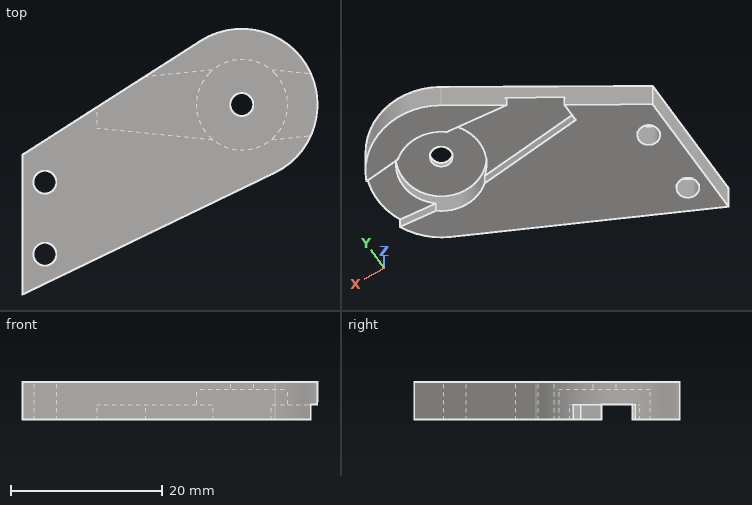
import cadquery as cq
import math

length = 38.97
thickness = 5.0
head_radius = 10.0
head_x = length - head_radius
head_y = 25.1
left_edge_height = 18.47

hole_diameter = 3.0
mount_hole_x = 2.95
mount_hole_low_y = 5.35
mount_hole_spacing = 9.5

roof_thickness = 1.0
hub_radius = 6.0
arm_depth = 2.0
arm_length = 19.15
arm_root_width = 10.0
arm_tip_width = 6.2


def tangent_point(x, y, side):
    """Touching point on the head of a line from (x, y); side +1 is above the head centre, -1 below."""
    distance = math.hypot(x - head_x, y - head_y)
    toward_point = math.atan2(y - head_y, x - head_x)
    angle = toward_point - side * math.acos(head_radius / distance)
    return (head_x + head_radius * math.cos(angle), head_y + head_radius * math.sin(angle))


def make_plate():
    upper_tangent = tangent_point(0, left_edge_height, 1)
    lower_tangent = tangent_point(0, 0, -1)
    return (
        cq.Workplane("XY")
        .lineTo(*lower_tangent)
        .threePointArc((length, head_y), upper_tangent)
        .lineTo(0, left_edge_height)
        .close()
        .extrude(thickness)
    )


def make_holes():
    centers = [
        (head_x, head_y),
        (mount_hole_x, mount_hole_low_y),
        (mount_hole_x, mount_hole_low_y + mount_hole_spacing),
    ]
    return cq.Workplane("XY").pushPoints(centers).circle(hole_diameter / 2).extrude(thickness)


def make_arm(direction):
    """Tapered arm running from the hub centre toward +X or -X, open on the underside."""
    tip_x = direction * arm_length
    return (
        cq.Workplane("XY")
        .center(head_x, head_y)
        .moveTo(0, -arm_root_width / 2)
        .lineTo(tip_x, -arm_tip_width / 2)
        .lineTo(tip_x, arm_tip_width / 2)
        .lineTo(0, arm_root_width / 2)
        .close()
        .extrude(arm_depth)
    )


def make_recess():
    hub = (
        cq.Workplane("XY")
        .center(head_x, head_y)
        .circle(hub_radius)
        .extrude(thickness - roof_thickness)
    )
    return hub.union(make_arm(1)).union(make_arm(-1))


result = make_plate().cut(make_holes()).cut(make_recess())